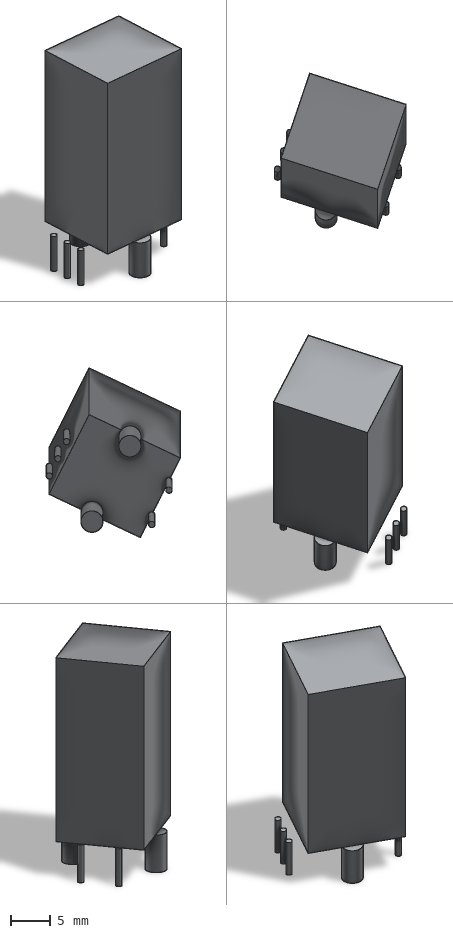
import cadquery as cq

total_height = 30.1
leg_length = 5.12
case_height = total_height - leg_length

case_width = 11.6
case_depth = 12.9
case_front_y = -5.93

peg_diameter = 2.8
peg_spacing = 11.0

pin_diameter = 0.8
pin_pitch = 2.5
pin_row_spacing = 14.48
front_row_y = -7.5
back_row_y = front_row_y + pin_row_spacing

peg_places = [(side * peg_spacing / 2, 0) for side in (-1, 1)]
front_pin_places = [(column * pin_pitch, front_row_y) for column in (-1, 0, 1)]
back_pin_places = [(column * pin_pitch, back_row_y) for column in (-1, 1)]


def make_case():
    """Plain rectangular block, centred in X."""
    return (
        cq.Workplane("XY")
        .center(0, case_front_y + case_depth / 2)
        .rect(case_width, case_depth)
        .extrude(case_height)
    )


def make_leg(diameter, place):
    """Round leg hanging down from the level of the case bottom."""
    return cq.Workplane("XY").center(*place).circle(diameter / 2).extrude(-leg_length)


def make_peg(place):
    return make_leg(peg_diameter, place)


def make_pin(place):
    return make_leg(pin_diameter, place)


case = make_case()
pegs = [make_peg(place) for place in peg_places]
pins = [make_pin(place) for place in front_pin_places + back_pin_places]

result = cq.Compound.makeCompound([body.val() for body in [case, *pegs, *pins]])